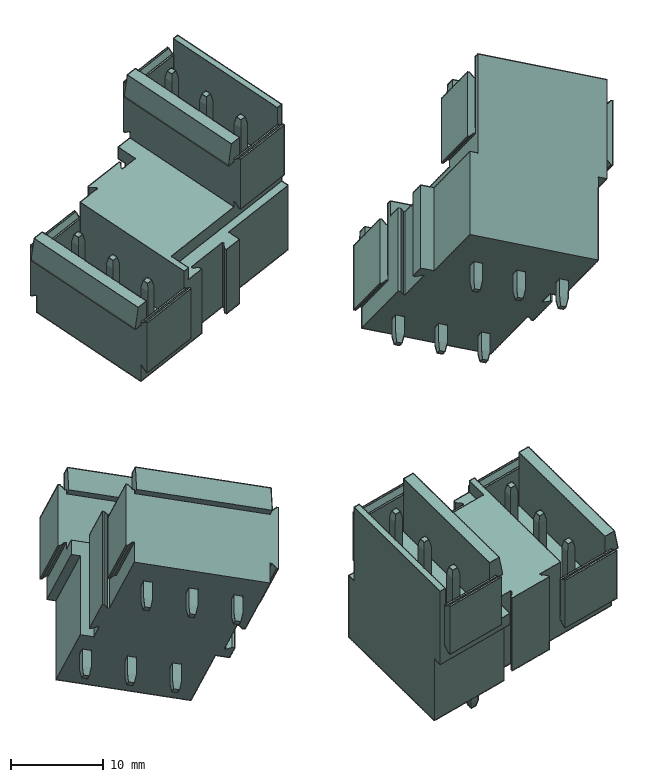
import cadquery as cq

half_pitch = 2.55
pins_per_row = 3

header_width = 15.35
header_depth = 7.67
header_rise = 10.22
rear_header_y = 17.75
platform_height = 11.95

rear_wall = 0.7
front_wall = 0.9
cavity_depth = 8.67

hook_reach = 0.87
hook_top_reach = 0.42
hook_height = 3.15
hook_land = 0.3

dovetail_land = 0.2
dovetail_slope = 0.53
rail_reach = 0.95
end_plate_drop = 2.1
end_plate_height = 7.83
end_plate_length = 7.07

rail_width = 5.07
rail_center_y = 11.77
groove_width = 5.02
groove_depth = 1.05

ledge_height = 10.12
step_y = 15.85
rear_inset = 1.02

pin_width = 1.02
pin_tip_width = 0.65
pin_tip_length = 1.02
pin_tail = 3.18
pin_top_drop = 0.92
pin_y_in_header = 3.92
jog_height = 6.57

front_header_x = half_pitch
front_right_x = front_header_x + header_width
rear_right_x = header_width + rail_reach
rear_y = rear_header_y + header_depth
tower_height = platform_height + header_rise
pin_row_pitch = 2 * half_pitch


def block(x_range, y_range, z_range):
    """Axis-aligned box between the given limits."""
    (x0, x1), (y0, y1), (z0, z1) = x_range, y_range, z_range
    return cq.Workplane("XY").box(x1 - x0, y1 - y0, z1 - z0, centered=False).translate((x0, y0, z0))


def dovetail_points(root, direction, center, width, reach):
    """Dovetail section standing out from `root` along +1 or -1, as (outward, across) points."""
    half_wide = width / 2
    half_neck = half_wide - dovetail_slope
    tip = root + direction * reach
    land = tip - direction * dovetail_land
    neck = land - direction * dovetail_slope
    return [
        (root, center - half_neck),
        (neck, center - half_neck),
        (land, center - half_wide),
        (tip, center - half_wide),
        (tip, center + half_wide),
        (land, center + half_wide),
        (neck, center + half_neck),
        (root, center + half_neck),
    ]


def lower_storey():
    front = block((front_header_x, front_right_x), (0, step_y), (0, ledge_height))
    rear = block((rear_inset, rear_right_x), (step_y, rear_y), (0, ledge_height))
    return front.union(rear)


def platform():
    z_range = (ledge_height, platform_height)
    middle = block((front_header_x, header_width), (header_depth, step_y), z_range)
    front = block((front_header_x, front_right_x), (0, header_depth), z_range)
    rear = block((0, header_width), (step_y, rear_y), z_range)
    return middle.union(front).union(rear)


def latch_lip(x, y, top):
    return (
        cq.Workplane("YZ", origin=(x, y, top))
        .polyline([
            (front_wall, 0),
            (-hook_top_reach, 0),
            (-hook_reach, hook_land - hook_height),
            (-hook_reach, -hook_height),
            (front_wall, -hook_height),
        ])
        .close()
        .extrude(header_width)
    )


def plug_cavity(x, y, top):
    """Pocket that runs the full header width; the end plates close its ends."""
    return block(
        (x, x + header_width),
        (y + front_wall, y + header_depth - rear_wall),
        (top - cavity_depth, top),
    )


def end_plate(root_x, direction, y, top):
    center_z = top - end_plate_drop - end_plate_height / 2
    points = dovetail_points(root_x, direction, center_z, end_plate_height, rail_reach)
    return (
        cq.Workplane("XZ", origin=(0, y, 0))
        .polyline(points)
        .close()
        .extrude(-end_plate_length)
    )


def side_rail():
    points = dovetail_points(front_header_x, -1, rail_center_y, rail_width, rail_reach)
    return cq.Workplane("XY").polyline(points).close().extrude(platform_height)


def side_groove():
    points = dovetail_points(front_right_x, -1, rail_center_y, groove_width, groove_depth)
    return cq.Workplane("XY").polyline(points).close().extrude(platform_height)


def make_housing():
    tower = block((0, header_width), (rear_header_y, rear_y), (platform_height, tower_height))
    body = lower_storey().union(platform()).union(tower)
    headers = [(front_header_x, 0, platform_height), (0, rear_header_y, tower_height)]
    for x, y, top in headers:
        body = body.union(latch_lip(x, y, top)).cut(plug_cavity(x, y, top))
        body = body.union(end_plate(x, -1, y, top))
        body = body.union(end_plate(x + header_width, 1, y, top))
    return body.union(side_rail()).cut(side_groove())


def pin_leg(x, y, bottom, top):
    """Upright square bar centred on (x, y)."""
    half = pin_width / 2
    return block((x - half, x + half), (y - half, y + half), (bottom, top))


def pin_tip(x, y, z, direction):
    """Tapered end that starts at height z and points up (+1) or down (-1)."""
    return (
        cq.Workplane("XY", origin=(x, y, z))
        .rect(pin_width, pin_width)
        .workplane(offset=direction * pin_tip_length)
        .rect(pin_tip_width, pin_tip_width)
        .loft(combine=True)
    )


def make_pin(x, tail_y, head_y, header_top):
    """Pin whose tail and head are joined by a cross leg when they are not in line."""
    bottom = pin_tip_length - pin_tail
    top = header_top - pin_top_drop - pin_tip_length
    half = pin_width / 2
    tail = pin_leg(x, tail_y, bottom, jog_height + half)
    head = pin_leg(x, head_y, jog_height - half, top)
    cross_leg = block(
        (x - half, x + half),
        (tail_y - half, head_y + half),
        (jog_height - half, jog_height + half),
    )
    pin = tail.union(cross_leg).union(head)
    return pin.union(pin_tip(x, tail_y, bottom, -1)).union(pin_tip(x, head_y, top, 1))


def make_front_pin(index):
    x = front_header_x + half_pitch + index * pin_row_pitch
    return make_pin(x, pin_y_in_header, pin_y_in_header, platform_height)


def make_rear_pin(index):
    x = half_pitch + index * pin_row_pitch
    head_y = rear_header_y + pin_y_in_header
    return make_pin(x, head_y - half_pitch, head_y, tower_height)


front_pins = [make_front_pin(i) for i in range(pins_per_row)]
rear_pins = [make_rear_pin(i) for i in range(pins_per_row)]

housing = make_housing()
for pin in front_pins + rear_pins:
    housing = housing.cut(pin)

bodies = [housing] + front_pins + rear_pins
result = cq.Compound.makeCompound([body.solids().val() for body in bodies])